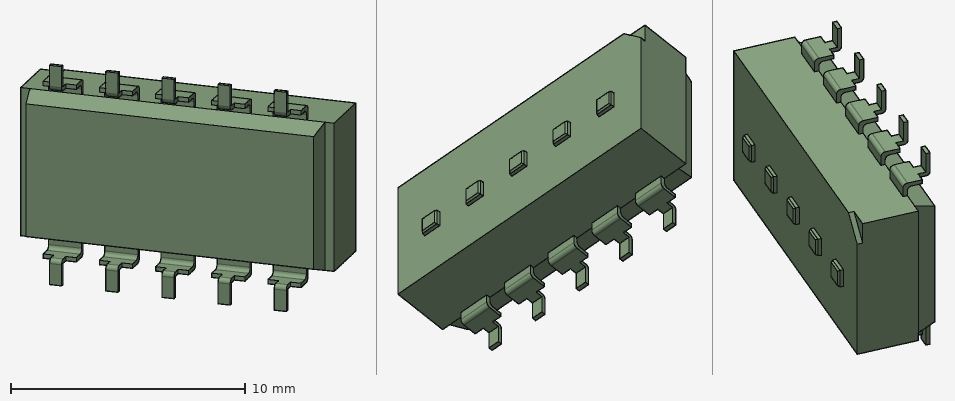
import cadquery as cq

body_length = 14.17
body_height = 6.7
block_depth = 2.81
cover_depth = 0.99
cover_end_step = 0.41
cover_end_taper = 0.17
cover_side_taper = 0.35

corner_cut_leg = 1.0
corner_cut_depth = 0.25

position_count = 5
pitch = 2.54

actuator_width_at_base = 0.88
actuator_width_at_rim = 0.83
actuator_length = 0.86
actuator_chamfer_inset = 0.06
actuator_height = 0.25
actuator_chamfer_height = 0.09
actuator_z = -0.4

lead_thickness = 0.2
lead_span = 9.91
shelf_span = 8.0
shoulder_width = 1.5
foot_width = 0.55
foot_reach = 0.25
neck_length = 0.55
lead_bend_radius = 0.2

foot_front_y = -(cover_depth + foot_reach)
shoulder_end_y = foot_front_y + neck_length
position_xs = [(i - (position_count - 1) / 2) * pitch for i in range(position_count)]


def make_block():
    """Rectangular block with one corner of its back edge cut off."""
    block = cq.Workplane("XY").box(body_length, block_depth, body_height, centered=(True, False, True))
    corner_x = -body_length / 2
    corner_z = body_height / 2
    corner_cut = (
        cq.Workplane("XZ", origin=(0, block_depth, 0))
        .moveTo(corner_x, corner_z)
        .lineTo(corner_x + corner_cut_leg, corner_z)
        .lineTo(corner_x, corner_z - corner_cut_leg)
        .close()
        .extrude(corner_cut_depth)
    )
    return block.cut(corner_cut)


def make_frustum(start_y, start_size, length, end_size):
    """Frustum along Y between two rectangles, each given as (size along X, size along Z).

    A negative length runs towards -Y.
    """
    return (
        cq.Workplane("XZ", origin=(0, start_y, 0))
        .rect(*start_size)
        .workplane(offset=-length)
        .rect(*end_size)
        .loft(ruled=True)
    )


def make_cover():
    """Cover that narrows from the block's front face towards -Y."""
    base_length = body_length - 2 * cover_end_step
    front_size = (base_length - 2 * cover_end_taper, body_height - 2 * cover_side_taper)
    return make_frustum(0, (base_length, body_height), -cover_depth, front_size)


def make_actuator(x):
    """Knob with drafted sides and a chamfered rim, standing on the back face."""
    rim_y = actuator_height - actuator_chamfer_height
    base_size = (actuator_width_at_base, actuator_length)
    rim_size = (actuator_width_at_rim, actuator_length)
    tip_size = tuple(size - 2 * actuator_chamfer_inset for size in rim_size)
    base = make_frustum(0, base_size, rim_y, rim_size)
    tip = make_frustum(rim_y, rim_size, actuator_chamfer_height, tip_size)
    return base.union(tip).translate((x, block_depth, actuator_z))


def make_upper_lead(x):
    """Lead that rises from the block, runs forward as a shelf and turns up into a foot."""
    root_z = body_height / 2
    shelf_top = shelf_span / 2
    shelf_bottom = shelf_top - lead_thickness
    tip_z = lead_span / 2

    shoulder = (
        cq.Workplane("YZ")
        .moveTo(0, root_z)
        .lineTo(lead_thickness, root_z)
        .lineTo(lead_thickness, shelf_top - lead_bend_radius)
        .radiusArc((lead_thickness - lead_bend_radius, shelf_top), -lead_bend_radius)
        .lineTo(shoulder_end_y, shelf_top)
        .lineTo(shoulder_end_y, shelf_bottom)
        .lineTo(-lead_bend_radius, shelf_bottom)
        .radiusArc((0, shelf_bottom - lead_bend_radius), lead_bend_radius)
        .close()
        .extrude(shoulder_width / 2, both=True)
    )
    foot = (
        cq.Workplane("YZ")
        .moveTo(shoulder_end_y, shelf_bottom)
        .lineTo(shoulder_end_y, shelf_top)
        .lineTo(foot_front_y + lead_thickness, shelf_top)
        .lineTo(foot_front_y + lead_thickness, tip_z)
        .lineTo(foot_front_y, tip_z)
        .lineTo(foot_front_y, shelf_bottom + lead_bend_radius)
        .radiusArc((foot_front_y + lead_bend_radius, shelf_bottom), -lead_bend_radius)
        .close()
        .extrude(foot_width / 2, both=True)
    )
    return shoulder.union(foot).translate((x, 0, 0))


result = make_block().union(make_cover())
for position_x in position_xs:
    upper_lead = make_upper_lead(position_x)
    result = result.union(make_actuator(position_x))
    result = result.union(upper_lead)
    result = result.union(upper_lead.mirror("XY"))